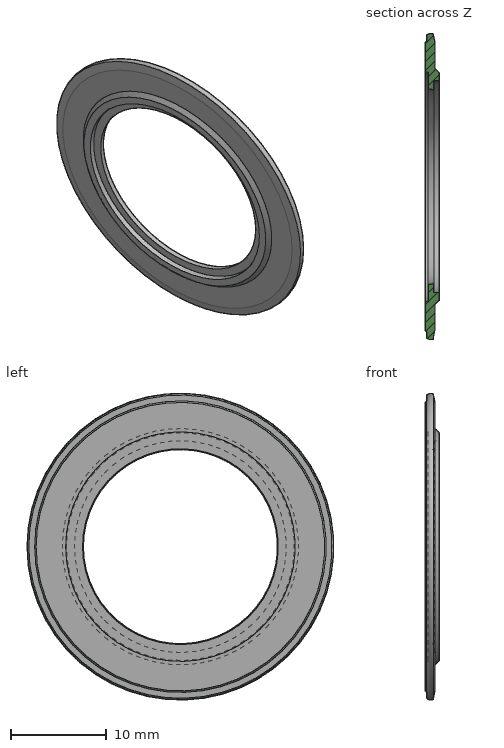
import cadquery as cq

outer_radius = 16.0
rim_front_radius = 15.82
rim_back_radius = 15.95
bevel_radius = 15.0
step_outer_radius = 15.2
step_inner_radius = 15.05
boss_base_radius = 12.33
boss_height = 0.45
boss_top_radius = boss_base_radius - boss_height
recess_radius = 11.98
bore_front_radius = 10.22
bore_radius = 10.12
pocket_radius = 11.05

total_thickness = 1.5
flange_back = total_thickness - boss_height
step_depth = 0.15
rim_crest = 0.58
rim_back = 0.85
recess_depth = 0.32
bore_back = 0.93

section = (
    cq.Workplane("XY")
    .moveTo(recess_depth, bore_front_radius)
    .lineTo(recess_depth, recess_radius)
    .lineTo(0, recess_radius)
    .lineTo(0, step_inner_radius)
    .lineTo(step_depth, step_outer_radius)
    .lineTo(step_depth, rim_front_radius)
    .threePointArc((rim_crest, outer_radius), (rim_back, rim_back_radius))
    .lineTo(flange_back, bevel_radius)
    .lineTo(flange_back, boss_base_radius)
    .lineTo(total_thickness, boss_top_radius)
    .lineTo(total_thickness, pocket_radius)
    .lineTo(bore_back, pocket_radius)
    .lineTo(bore_back, bore_radius)
    .close()
)
result = section.revolve(360, (0, 0, 0), (1, 0, 0))